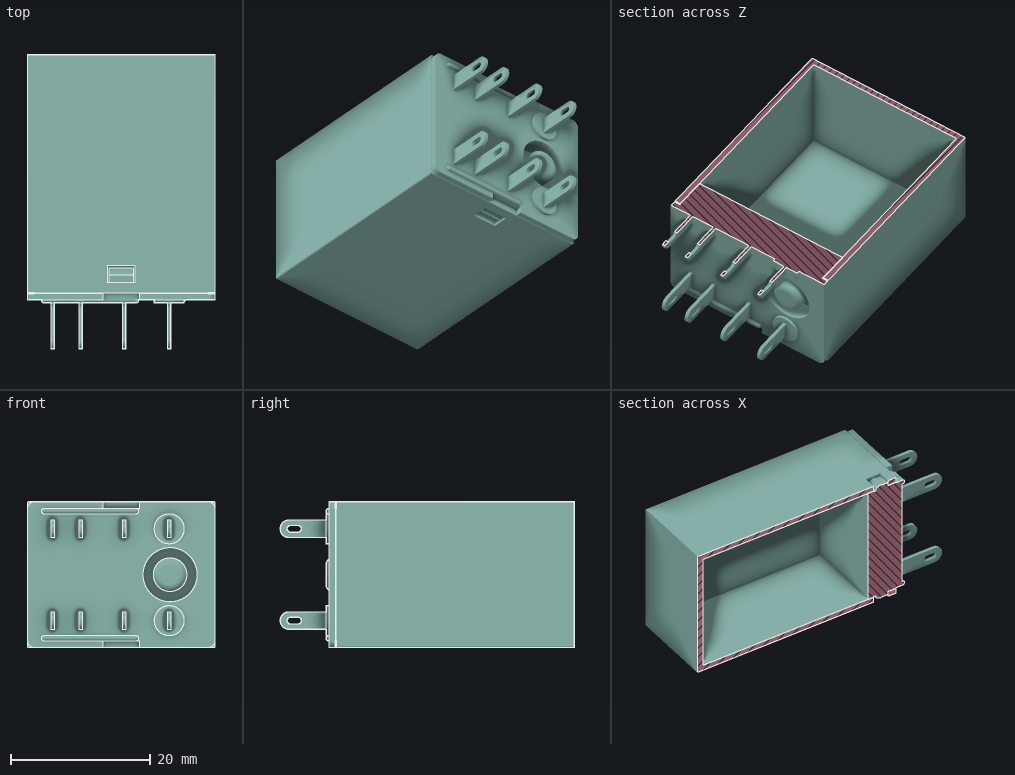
import cadquery as cq

WIDTH = 27.0
HEIGHT = 21.0
LENGTH = 42.3
PIN_LENGTH = 7.02
CASE_END = LENGTH - PIN_LENGTH

WALL = 0.97
COVER_EDGE_RADIUS = 0.2
FLANGE_THICKNESS = 0.95
SEAM = 0.1
COVER_START = FLANGE_THICKNESS + SEAM

WINDOW_WIDTH = 3.9
WINDOW_START = 2.5
WINDOW_END = 4.95

PLUG_END = 5.92
FLANGE_CORNER_RADIUS = 1.0
NOTCH_WIDTH = 5.25
NOTCH_DEPTH = WALL

LATCH_WIDTH = 3.55
LATCH_CLEARANCE = 0.05
PAD_SINK = 0.35
TOOTH_START = 3.6
TOOTH_TOP_SINK = 0.15
TOOTH_END = 4.55
TOOTH_FOOT_SINK = 0.55

RELIEF = 0.42
RIB_LENGTH = 13.95
RIB_WIDTH = 0.75
RIB_CENTER_X = -4.5
RIB_CENTER_Z = HEIGHT / 2 - NOTCH_DEPTH - RIB_WIDTH / 2
RIB_CORNER_RADIUS = 0.36
RIB_TOP_RADIUS = 0.35
DISC_DIAMETER = 4.3

BUTTON_X = 7.02
BUTTON_DIAMETER = 4.82
BUTTON_EDGE_RADIUS = 0.97
RECESS_DIAMETER = 7.8
RECESS_DEPTH = 3.1

PIN_COLUMNS = (-9.85, -5.85, 0.42, 6.9)
DISC_COLUMN = PIN_COLUMNS[-1]
PIN_ROW_Z = 6.6
PIN_THICKNESS = 0.5
PIN_WIDTH = 2.55
PIN_ROOT = 0.42
SLOT_LENGTH = 2.05
SLOT_WIDTH = 0.95
SLOT_CENTER = 2.05

SIDES = (1, -1)


def block(width, height, start, end):
    """Box centred on the Y axis, from Y = start to Y = end."""
    return cq.Workplane("XY").box(width, end - start, height).translate((0, (start + end) / 2, 0))


def side_block(side, width, inner, outer, start, end):
    """Box centred on X = 0, between two distances from the X-Y plane on one side."""
    box = cq.Workplane("XY").box(width, end - start, outer - inner)
    return box.translate((0, (start + end) / 2, side * (inner + outer) / 2))


def face_cylinder(x, z, diameter, start, end):
    """Cylinder along Y, from Y = start to Y = end."""
    plane = cq.Plane(origin=(x, start, z), xDir=(1, 0, 0), normal=(0, 1, 0))
    return cq.Workplane(plane).circle(diameter / 2).extrude(end - start)


def make_cover():
    cover = block(WIDTH, HEIGHT, COVER_START, CASE_END).edges("|Y").fillet(COVER_EDGE_RADIUS)
    cover = cover.cut(block(WIDTH - 2 * WALL, HEIGHT - 2 * WALL, COVER_START, CASE_END - WALL))
    for side in SIDES:
        window = side_block(side, WINDOW_WIDTH, HEIGHT / 2 - WALL, HEIGHT / 2, WINDOW_START, WINDOW_END)
        cover = cover.cut(window)
    return cover


def make_latch(side):
    """Pad with a ramped tooth, standing on the plug inside a cover window."""
    plug_top = HEIGHT / 2 - WALL
    outside = HEIGHT / 2
    profile = [
        (WINDOW_START + LATCH_CLEARANCE, plug_top),
        (WINDOW_START + LATCH_CLEARANCE, outside - PAD_SINK),
        (TOOTH_START, outside - PAD_SINK),
        (TOOTH_START, outside - TOOTH_TOP_SINK),
        (TOOTH_END, outside - TOOTH_FOOT_SINK),
        (TOOTH_END, plug_top),
    ]
    points = [(y, side * z) for y, z in profile]
    return cq.Workplane("YZ").polyline(points).close().extrude(LATCH_WIDTH / 2, both=True)


def make_rib(side):
    rib = cq.Workplane("XY").box(RIB_LENGTH, RELIEF, RIB_WIDTH)
    rib = rib.edges("|Y").fillet(RIB_CORNER_RADIUS)
    rib = rib.faces("<Y").edges().fillet(RIB_TOP_RADIUS)
    return rib.translate((RIB_CENTER_X, -RELIEF / 2, side * RIB_CENTER_Z))


def make_pin(x, z):
    """Flat solder pin with a round tip and a slot through it."""
    round_center = PIN_WIDTH / 2 - PIN_LENGTH
    blade = (
        cq.Workplane("YZ")
        .moveTo(PIN_ROOT, -PIN_WIDTH / 2)
        .lineTo(round_center, -PIN_WIDTH / 2)
        .threePointArc((-PIN_LENGTH, 0), (round_center, PIN_WIDTH / 2))
        .lineTo(PIN_ROOT, PIN_WIDTH / 2)
        .close()
        .extrude(PIN_THICKNESS / 2, both=True)
    )
    slot = (
        cq.Workplane("YZ")
        .center(SLOT_CENTER - PIN_LENGTH, 0)
        .slot2D(SLOT_LENGTH, SLOT_WIDTH)
        .extrude(PIN_THICKNESS, both=True)
    )
    return blade.cut(slot).translate((x, 0, z))


def add_button(base):
    """Sink the round recess and stand the button in it."""
    recess = face_cylinder(BUTTON_X, 0, RECESS_DIAMETER, 0, RECESS_DEPTH)
    button = face_cylinder(BUTTON_X, 0, BUTTON_DIAMETER, -RELIEF, RECESS_DEPTH)
    button = button.faces("<Y").edges().fillet(BUTTON_EDGE_RADIUS)
    return base.cut(recess).union(button)


def make_base():
    base = block(WIDTH, HEIGHT, 0, FLANGE_THICKNESS).edges("|Y").fillet(FLANGE_CORNER_RADIUS)
    for side in SIDES:
        notch = side_block(side, NOTCH_WIDTH, HEIGHT / 2 - NOTCH_DEPTH, HEIGHT / 2, 0, FLANGE_THICKNESS)
        base = base.cut(notch)
    base = base.union(block(WIDTH - 2 * WALL, HEIGHT - 2 * WALL, FLANGE_THICKNESS, PLUG_END))
    base = add_button(base)
    for side in SIDES:
        base = base.union(make_latch(side))
        base = base.union(make_rib(side))
        base = base.union(face_cylinder(DISC_COLUMN, side * PIN_ROW_Z, DISC_DIAMETER, -RELIEF, 0))
        for x in PIN_COLUMNS:
            base = base.union(make_pin(x, side * PIN_ROW_Z))
    return base


cover = make_cover()
base = make_base()
result = cq.Compound.makeCompound([cover.solids().val(), base.solids().val()])